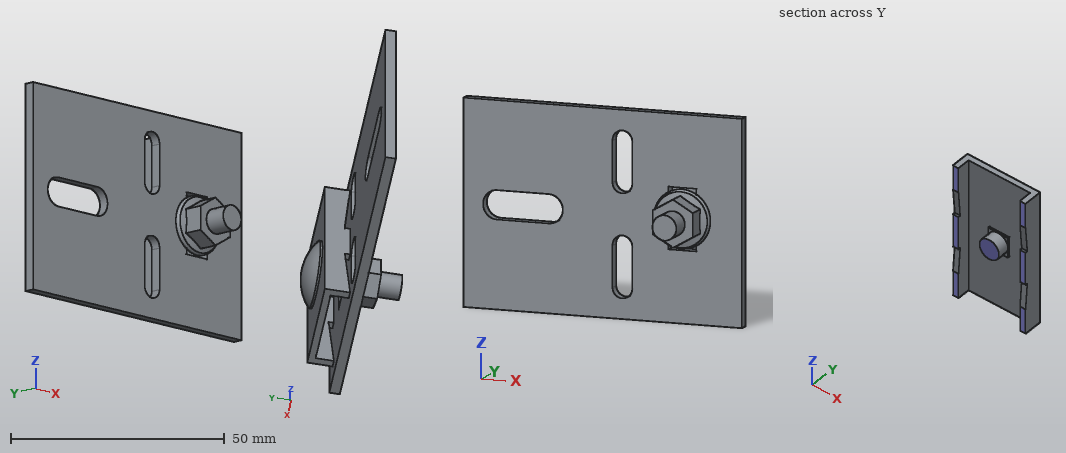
import cadquery as cq
import math

plate_length = 70.0
plate_height = 50.0
plate_thickness = 2.5
long_slot_length = 20.0
long_slot_width = 7.0
long_slot_x = -20.0
side_slot_length = 15.0
side_slot_width = 5.0
side_slot_x = 5.0
side_slot_z = 12.5
window_width = 7.0
window_height = 15.0

bolt_x = 20.0
channel_width = 22.0
channel_length = 40.0
channel_depth = 6.0
channel_wall = 1.7
foot_length = 10.0
relief_depth = 1.25
channel_back = plate_thickness + channel_depth

head_diameter = 16.1
head_height = 3.5
head_rim = 0.5
shank_diameter = 6.0
bolt_projection = 11.5
neck_side = shank_diameter
neck_length = channel_wall + 0.5

nut_height = 6.0
nut_across_flats = 10.0
flange_diameter = 14.2
flange_edge_inset = 0.4
flange_edge_height = 1.0
flange_cone_height = 1.5


def block(x_size, y_start, y_end, z_size, x_center=0.0):
    """Box centred on Z = 0, spanning y_start to y_end."""
    return cq.Workplane("XY").box(x_size, y_end - y_start, z_size).translate(
        (x_center, (y_start + y_end) / 2, 0)
    )


def cylinder(diameter, y_start, y_end):
    """Cylinder on the bolt axis."""
    return cq.Workplane("XZ", origin=(bolt_x, y_start, 0)).circle(diameter / 2).extrude(y_start - y_end)


def revolve_about_bolt(profile):
    """Turn a closed (radius, Y) profile about the Y axis and move it to the bolt."""
    return profile.revolve(360, (0, 0), (0, 1)).translate((bolt_x, 0, 0))


def slot_cutter(x, z, length, width, angle):
    return (
        cq.Workplane("XZ", origin=(x, 0, z)).slot2D(length, width, angle).extrude(-plate_thickness)
    )


def make_plate():
    plate = block(plate_length, 0, plate_thickness, plate_height)
    plate = plate.cut(slot_cutter(long_slot_x, 0, long_slot_length, long_slot_width, 0))
    for z in (-side_slot_z, side_slot_z):
        plate = plate.cut(slot_cutter(side_slot_x, z, side_slot_length, side_slot_width, 90))
    window = block(window_width, 0, plate_thickness, window_height, bolt_x)
    return plate.cut(window)


def relief_cutter(end):
    """Tapered gap under both legs, from the foot to the channel end (end is +1 or -1)."""
    foot_z = end * foot_length / 2
    return (
        cq.Workplane("YZ", origin=(bolt_x, 0, 0))
        .moveTo(plate_thickness, foot_z)
        .lineTo(plate_thickness + relief_depth, foot_z)
        .lineTo(plate_thickness, end * channel_length / 2)
        .close()
        .extrude(channel_width / 2, both=True)
    )


def make_channel():
    web_front = channel_back - channel_wall
    inner_width = channel_width - 2 * channel_wall
    channel = block(channel_width, plate_thickness, channel_back, channel_length, bolt_x)
    channel = channel.cut(block(inner_width, plate_thickness, web_front, channel_length, bolt_x))
    for end in (-1, 1):
        channel = channel.cut(relief_cutter(end))
    return channel.cut(block(neck_side, web_front, channel_back, neck_side, bolt_x))


def make_bolt():
    head_radius = head_diameter / 2
    rim_top = channel_back + head_rim
    dome_height = head_height - head_rim
    dome_radius = (head_radius**2 + dome_height**2) / (2 * dome_height)
    half_angle = math.asin(head_radius / dome_radius) / 2
    dome_center_y = channel_back + head_height - dome_radius
    dome_middle = (
        dome_radius * math.sin(half_angle),
        dome_center_y + dome_radius * math.cos(half_angle),
    )
    head = revolve_about_bolt(
        cq.Workplane("XY")
        .moveTo(0, channel_back)
        .lineTo(head_radius, channel_back)
        .lineTo(head_radius, rim_top)
        .threePointArc(dome_middle, (0, channel_back + head_height))
        .close()
    )
    neck = block(neck_side, channel_back - neck_length, channel_back, neck_side, bolt_x)
    shank = cylinder(shank_diameter, -bolt_projection, channel_back)
    return head.union(neck).union(shank)


def make_nut():
    flange_radius = flange_diameter / 2
    hexagon = (
        cq.Workplane("XZ", origin=(bolt_x, 0, 0))
        .polygon(6, nut_across_flats / math.cos(math.pi / 6))
        .extrude(nut_height)
        .rotate((bolt_x, 0, 0), (bolt_x, 1, 0), 30)
    )
    edge_radius = (flange_edge_inset**2 + flange_edge_height**2) / (2 * flange_edge_inset)
    half_angle = math.asin(flange_edge_height / edge_radius) / 2
    edge_middle = (
        flange_radius - edge_radius * (1 - math.cos(half_angle)),
        -edge_radius * math.sin(half_angle),
    )
    edge_end = (flange_radius - flange_edge_inset, -flange_edge_height)
    flange = revolve_about_bolt(
        cq.Workplane("XY")
        .lineTo(flange_radius, 0)
        .threePointArc(edge_middle, edge_end)
        .lineTo(nut_across_flats / 2, -flange_cone_height)
        .lineTo(0, -flange_cone_height)
        .close()
    )
    return hexagon.union(flange).cut(cylinder(shank_diameter, -nut_height, 0))


plate = make_plate()
channel = make_channel()
bolt = make_bolt()
nut = make_nut()

result = cq.Compound.makeCompound([plate.val(), channel.val(), bolt.val(), nut.val()])